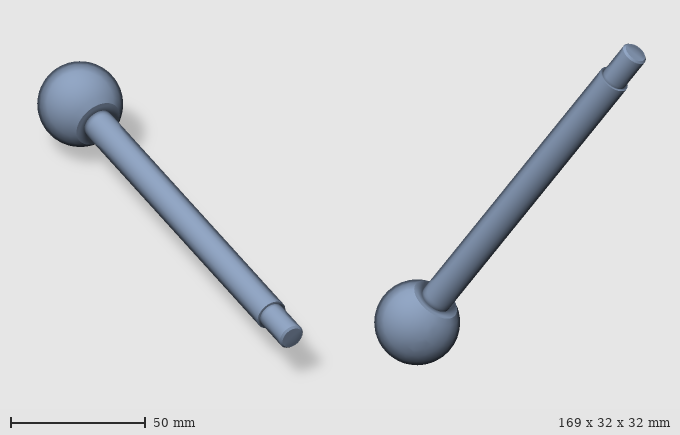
import cadquery as cq

overall_length = 169.0
ball_diameter = 32.0
neck_flat_from_tip = 28.9
rod_diameter = 12.0
pin_diameter = 10.0
pin_length = 15.0
pin_chamfer = 0.76

ball_radius = ball_diameter / 2
tip_x = -ball_radius
neck_flat_x = tip_x + neck_flat_from_tip
pin_end_x = tip_x + overall_length
shoulder_x = pin_end_x - pin_length


def cylinder_along_x(start_x, end_x, diameter):
    return cq.Workplane("YZ", origin=(start_x, 0, 0)).circle(diameter / 2).extrude(end_x - start_x)


def make_ball():
    """Sphere cut flat on the rod side."""
    envelope = cylinder_along_x(tip_x, neck_flat_x, 2 * ball_diameter)
    sphere = cq.Workplane("XY").sphere(ball_radius).rotate((0, 0, 0), (0, 1, 0), 90)
    return sphere.intersect(envelope)


rod = cylinder_along_x(0, shoulder_x, rod_diameter)
pin = cylinder_along_x(shoulder_x, pin_end_x, pin_diameter).faces(">X").chamfer(pin_chamfer)

result = make_ball().union(rod).union(pin)